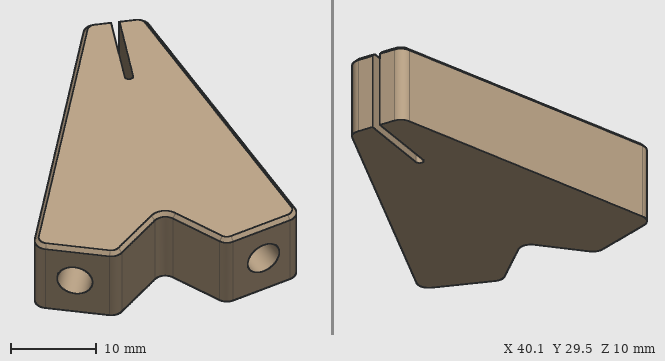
import cadquery as cq
import math

half_angle = 18.95
side_length = 38.11
narrow_end_width = 7.06
arm_end_width = 10.0
notch_half_angle = 45.0
height = 10.0
corner_radius = 1.5
top_chamfer = 0.5

slit_width = 1.0
slit_length = 10.3

hole_diameter = 4.2
hole_depth = 12.0

lean = math.radians(half_angle)
narrow_corner = cq.Vector(0, narrow_end_width / 2)
along_side = cq.Vector(math.cos(lean), math.sin(lean))
across_arm = cq.Vector(math.sin(lean), -math.cos(lean))
outer_corner = narrow_corner + along_side * side_length
inner_corner = outer_corner + across_arm * arm_end_width
notch_depth = inner_corner.y / math.tan(math.radians(notch_half_angle))
notch_vertex = cq.Vector(inner_corner.x - notch_depth, 0)


def mirrored(point):
    """Reflect a point or direction across the symmetry axis (local X)."""
    return cq.Vector(point.x, -point.y, point.z)


def make_body():
    upper = [narrow_corner, outer_corner, inner_corner]
    lower = [mirrored(point) for point in reversed(upper)]
    outline = [point.toTuple()[:2] for point in upper + [notch_vertex] + lower]
    body = cq.Workplane("XY").polyline(outline).close().extrude(height)
    body = body.edges("|Z").fillet(corner_radius)
    return body.faces(">Z").chamfer(top_chamfer)


def make_slit():
    return cq.Workplane("XY").slot2D(2 * slit_length, slit_width).extrude(height)


def make_hole(end_center, inward):
    start = end_center + cq.Vector(0, 0, height / 2)
    return cq.Solid.makeCylinder(hole_diameter / 2, hole_depth, start, inward)


end_center = outer_corner + across_arm * (arm_end_width / 2)
inward = along_side * -1

wedge = make_body().cut(make_slit())
wedge = wedge.cut(make_hole(end_center, inward))
wedge = wedge.cut(make_hole(mirrored(end_center), mirrored(inward)))

result = wedge.rotate((0, 0, 0), (0, 0, 1), -half_angle)